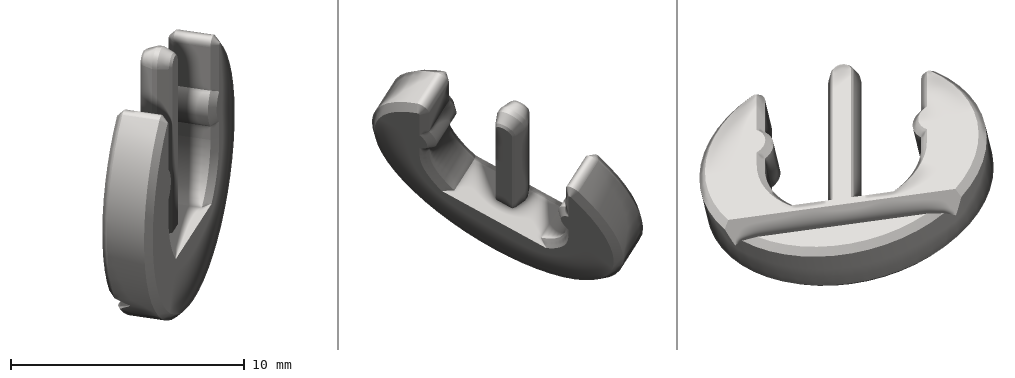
import cadquery as cq
import math

plate_radius = 6.25
plate_thickness = 2.26
edge_chamfer = 0.3

opening_half_width = 3.4
floor_z = -2.64
tip_radius = 0.38
tip_center_y = opening_half_width + tip_radius
tip_center_z = math.sqrt((plate_radius - tip_radius) ** 2 - tip_center_y**2)

bump_radius = 1.2
bump_reach_y = 3.02
bump_z = 1.52
bump_center_y = bump_reach_y + bump_radius

groove_z = -4.0
groove_depth = 0.9
groove_half_width = 0.68

pin_width = 1.4
pin_depth = 1.42
pin_top_z = 6.05
pin_crest_depth = 0.22
pin_shoulder_depth = 0.11
pin_shoulder_half_width = 0.5
pin_face_half_width = 0.4
pin_half_width = pin_width / 2
pin_dome_z = pin_top_z - pin_half_width


def plate_outline(x, inset, floor):
    """U-shaped outline at depth x, drawn inside the full-size outline by inset.

    The disc rim, the rounded tips, the straight walls and the round lower
    corners of the opening move into the material together. The flat floor of
    the opening has its own height.
    """
    rim = plate_radius - inset
    wall_y = opening_half_width + inset
    floor_y = math.sqrt(wall_y**2 - floor**2)
    corner_mid_angle = math.atan2(floor, floor_y) / 2
    corner_y = wall_y * math.cos(corner_mid_angle)
    corner_z = wall_y * math.sin(corner_mid_angle)

    tip = tip_radius - inset
    tip_rim_angle = math.atan2(tip_center_z, tip_center_y)
    rim_y = rim * math.cos(tip_rim_angle)
    rim_z = rim * math.sin(tip_rim_angle)
    tip_mid_angle = (tip_rim_angle + math.pi) / 2
    tip_y = tip_center_y + tip * math.cos(tip_mid_angle)
    tip_z = tip_center_z + tip * math.sin(tip_mid_angle)

    return (
        cq.Workplane("YZ", origin=(x, 0, 0))
        .moveTo(-rim_y, rim_z)
        .threePointArc((0, -rim), (rim_y, rim_z))
        .threePointArc((tip_y, tip_z), (wall_y, tip_center_z))
        .lineTo(wall_y, 0)
        .threePointArc((corner_y, corner_z), (floor_y, floor))
        .lineTo(-floor_y, floor)
        .threePointArc((-corner_y, corner_z), (-wall_y, 0))
        .lineTo(-wall_y, tip_center_z)
        .threePointArc((-tip_y, tip_z), (-rim_y, rim_z))
        .close()
    )


def bevel(x, face_x, face_floor):
    """45 degree bevel from the full outline at depth x to the inset outline at face_x."""
    full_wire = plate_outline(x, 0, floor_z).val()
    face_wire = plate_outline(face_x, edge_chamfer, face_floor).val()
    return cq.Workplane(cq.Solid.makeLoft([full_wire, face_wire], True))


def beveled_plate():
    """Plate beveled at both faces, except along the floor at the back face."""
    back_bevel_x = plate_thickness - edge_chamfer
    core = plate_outline(edge_chamfer, 0, floor_z).extrude(back_bevel_x - edge_chamfer)
    front_bevel = bevel(edge_chamfer, 0, floor_z - edge_chamfer)
    back_bevel = bevel(back_bevel_x, plate_thickness, floor_z)
    return core.union(front_bevel).union(back_bevel)


def bump(side):
    """Beveled cylinder through the plate that stands proud of one opening wall."""
    return (
        cq.Workplane("YZ")
        .center(side * bump_center_y, bump_z)
        .circle(bump_radius)
        .extrude(plate_thickness)
        .faces("<X or >X")
        .chamfer(edge_chamfer)
    )


def groove():
    """V-shaped cutter running along Y."""
    return (
        cq.Workplane("XZ")
        .moveTo(0, groove_z + groove_half_width)
        .lineTo(groove_depth, groove_z)
        .lineTo(0, groove_z - groove_half_width)
        .close()
        .extrude(plate_radius, both=True)
    )


def pin_half_section():
    """Half of the pin's cross-section, on the +Y side of its middle plane."""
    return (
        cq.Workplane("XY", origin=(0, 0, pin_dome_z))
        .lineTo(0, pin_face_half_width)
        .lineTo(pin_shoulder_depth, pin_shoulder_half_width)
        .lineTo((pin_depth - pin_crest_depth) / 2, pin_half_width)
        .lineTo((pin_depth + pin_crest_depth) / 2, pin_half_width)
        .lineTo(pin_depth - pin_shoulder_depth, pin_shoulder_half_width)
        .lineTo(pin_depth, pin_face_half_width)
        .lineTo(pin_depth, 0)
        .close()
    )


def pin():
    """Straight shaft down into the plate, with its section turned over the top."""
    shaft_length = pin_dome_z - floor_z + edge_chamfer
    half_shaft = pin_half_section().extrude(-shaft_length)
    shaft = half_shaft.union(half_shaft.mirror("XZ"))
    dome = pin_half_section().revolve(180, (0, 0, 0), (1, 0, 0))
    return shaft.union(dome)


result = beveled_plate()
for side in (-1, 1):
    result = result.union(bump(side))
result = result.cut(groove()).union(pin())